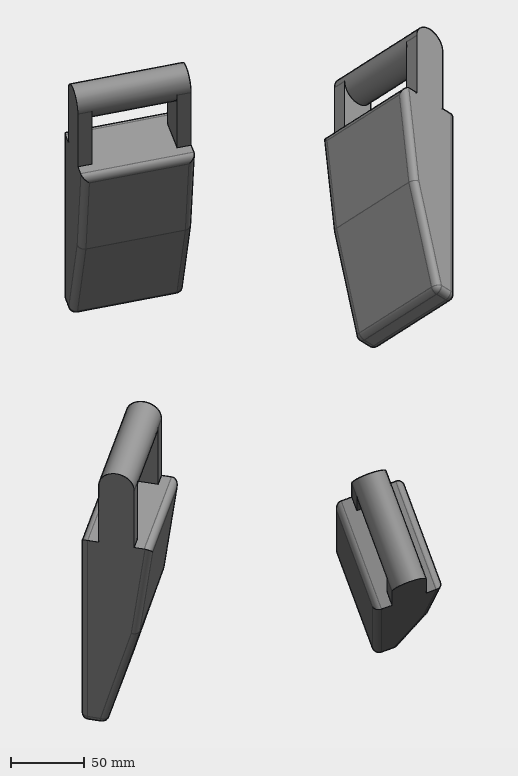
import cadquery as cq

total_height = 222.5
depth = 80.0

top_width = 50.0
bend_width = 40.3
bottom_width = 17.5
bend_height = 83.0
edge_radius = 5.0

grip_diameter = 25.0
grip_radius = grip_diameter / 2
leg_height = 50.0
leg_thickness = 10.0
handle_x = top_width / 2
grip_height = total_height - grip_radius
body_height = grip_height - leg_height


def make_body():
    """Wedge with rounded edges, except the bend and the two top side edges."""
    outline = [
        (0, 0),
        (bottom_width, 0),
        (bend_width, bend_height),
        (top_width, body_height),
        (0, body_height),
    ]
    wedge = cq.Workplane("XZ").polyline(outline).close().extrude(depth / 2, both=True)
    top_side_edges = wedge.faces(">Z").edges("|X")
    bend_edge = wedge.edges(cq.selectors.NearestToPointSelector((bend_width, 0, bend_height)))
    sharp_edges = top_side_edges.vals() + bend_edge.vals()
    rounded_edges = [
        edge for edge in wedge.edges().vals()
        if not any(edge.isSame(sharp) for sharp in sharp_edges)
    ]
    return wedge.newObject(rounded_edges).fillet(edge_radius)


def make_grip():
    """Cylinder along Y spanning the full depth."""
    return (
        cq.Workplane("XZ", origin=(handle_x, depth / 2, grip_height))
        .circle(grip_radius)
        .extrude(depth)
    )


def make_leg(side):
    """Upright plate flush with the body side; side is -1 or +1 along Y."""
    leg_y = side * (depth - leg_thickness) / 2
    return (
        cq.Workplane("XY", origin=(handle_x, leg_y, body_height))
        .rect(grip_diameter, leg_thickness)
        .extrude(leg_height)
    )


result = make_body().union(make_grip())
for side in (-1, 1):
    result = result.union(make_leg(side))